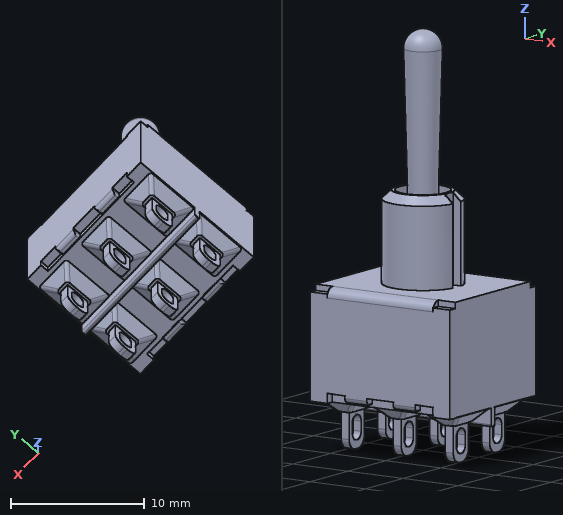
import cadquery as cq
import math


overall_height = 32.18

case_length = 12.7
case_width = 11.42
case_height = 8.85

relief_length = 1.55
relief_depth = 0.7
relief_height = 0.48
roll_radius = 0.77
middle_length = case_length - 2 * relief_length

cutout_height = 0.77
tab_length = 2.0
tab_pitch = 4.38
tab_lift = 0.2
tab_bend_radius = 0.4
tab_corner_radius = 0.15

rib_thickness = 0.48
rib_height = 1.45
rib_edge_radius = 0.2

terminal_pitch_x = 4.73
terminal_pitch_y = 15
terminal_thickness = 0.75
terminal_width = 2.03
terminal_reach = 3.93
terminal_end_radius = 0.87
eyelet_width = 1.15
eyelet_length = 1.93
eyelet_depth = 2.3
pedestal_height = 0.95
pedestal_base = (3.1, 4.45)
pedestal_draft = 45
pedestal_edge_radius = 0.4

bushing_radius = 3.12
bushing_height = 7.1
rim_radius = 2.38
rim_chamfer_height = 0.68
bore_radius = 4.2 / 2
keyway_width = 1.05
bushing_top = case_height + bushing_height

ball_radius = bore_radius
ball_depth = 2.57
ball_center_z = bushing_top - ball_depth
tip_radius = 1.48
neck_radius = 1.15
lever_top = overall_height - terminal_reach
tip_center_z = lever_top - tip_radius
neck_z = ball_center_z + math.sqrt(ball_radius**2 - neck_radius**2)


def side_box(x_center, length, depth, z_bottom, height):
    """Box just inside the -Y face of the case."""
    return (
        cq.Workplane("XY")
        .box(length, depth, height, centered=(True, False, False))
        .translate((x_center, -case_width / 2, z_bottom))
    )


def rolled_edge_waste():
    """Material outside the rounded upper edge of the -Y side."""
    y_face = -case_width / 2
    bend = math.sqrt(0.5) * roll_radius
    arc_middle = (y_face + roll_radius - bend, case_height - roll_radius + bend)
    return (
        cq.Workplane("YZ")
        .moveTo(y_face, case_height)
        .lineTo(y_face, case_height - roll_radius)
        .threePointArc(arc_middle, (y_face + roll_radius, case_height))
        .close()
        .extrude(middle_length / 2, both=True)
    )


def folded_tab(x_center):
    """Tab in the bottom cut-out, rounded where it folds under the case."""
    height = cutout_height - tab_lift
    blank = side_box(x_center, tab_length, relief_depth, tab_lift, height)
    bent = blank.edges("<Y and <Z").fillet(tab_bend_radius)
    rounded = blank.edges("<Z and |Y").fillet(tab_corner_radius)
    return bent.intersect(rounded)


def side_waste():
    """List of the pieces removed along the -Y side of the case."""
    pieces = [rolled_edge_waste()]
    relief_x = (case_length - relief_length) / 2
    for x in (-relief_x, relief_x):
        pieces.append(side_box(x, relief_length, relief_depth, case_height - relief_height, relief_height))
    cutout = side_box(0, middle_length, relief_depth, 0, cutout_height)
    for x in (-tab_pitch / 2, tab_pitch / 2):
        cutout = cutout.cut(folded_tab(x))
    pieces.append(cutout)
    return pieces


def make_case():
    case = cq.Workplane("XY").box(case_length, case_width, case_height, centered=(True, True, False))
    for piece in side_waste():
        case = case.cut(piece).cut(piece.mirror("XZ"))
    return case


def make_rib():
    rib = cq.Workplane("XY").box(case_length, rib_thickness, rib_height, centered=(True, True, False))
    return rib.translate((0, 0, -rib_height)).edges("<Z and |X").fillet(rib_edge_radius)


def make_terminal():
    """Pedestal and eyelet terminal, centred on the Z axis."""
    pedestal = (
        cq.Workplane("XY")
        .rect(*pedestal_base)
        .extrude(-pedestal_height, taper=pedestal_draft)
        .edges("not(#Z)")
        .fillet(pedestal_edge_radius)
    )
    blade = (
        cq.Workplane("XY")
        .box(terminal_thickness, terminal_width, terminal_reach, centered=(True, True, False))
        .translate((0, 0, -terminal_reach))
        .edges("<Z and |X")
        .fillet(terminal_end_radius)
    )
    eyelet = (
        cq.Workplane("YZ")
        .center(0, -eyelet_depth)
        .slot2D(eyelet_length, eyelet_width, 90)
        .extrude(terminal_thickness, both=True)
    )
    return pedestal.union(blade).cut(eyelet)


def make_bushing():
    bushing = (
        cq.Workplane("XZ")
        .moveTo(0, case_height)
        .lineTo(bushing_radius, case_height)
        .lineTo(bushing_radius, bushing_top - rim_chamfer_height)
        .lineTo(rim_radius, bushing_top)
        .lineTo(0, bushing_top)
        .close()
        .revolve(360, (0, 0), (0, 1))
    )
    keyway = (
        cq.Workplane("XY")
        .box(bushing_radius, keyway_width, bushing_height, centered=(False, True, False))
        .translate((rim_radius, 0, case_height))
    )
    return bushing.cut(keyway)


def bore_and_seat():
    """Round-bottomed bore that holds the lever ball."""
    bore = cq.Workplane("XY", origin=(0, 0, ball_center_z)).circle(bore_radius).extrude(ball_depth)
    return bore.union(cq.Workplane("XY", origin=(0, 0, ball_center_z)).sphere(ball_radius))


def make_housing():
    housing = make_case().union(make_bushing()).union(make_rib())
    terminal = make_terminal()
    for column in (-1, 0, 1):
        for row in (-0.15, 0.15):
            place = (column * terminal_pitch_x, row * terminal_pitch_y, 0)
            housing = housing.union(terminal.translate(place))
    return housing.cut(bore_and_seat()).solids()


def make_lever():
    """Tapered lever with a domed tip and a ball at its foot."""
    tip_bend = math.sqrt(0.5) * tip_radius
    return (
        cq.Workplane("XZ")
        .moveTo(0, ball_center_z - ball_radius)
        .threePointArc((ball_radius, ball_center_z), (neck_radius, neck_z))
        .lineTo(tip_radius, tip_center_z)
        .threePointArc((tip_bend, tip_center_z + tip_bend), (0, lever_top))
        .close()
        .revolve(360, (0, 0), (0, 1))
    )


housing = make_housing()
lever = make_lever()

result = cq.Compound.makeCompound([housing.val(), lever.val()])